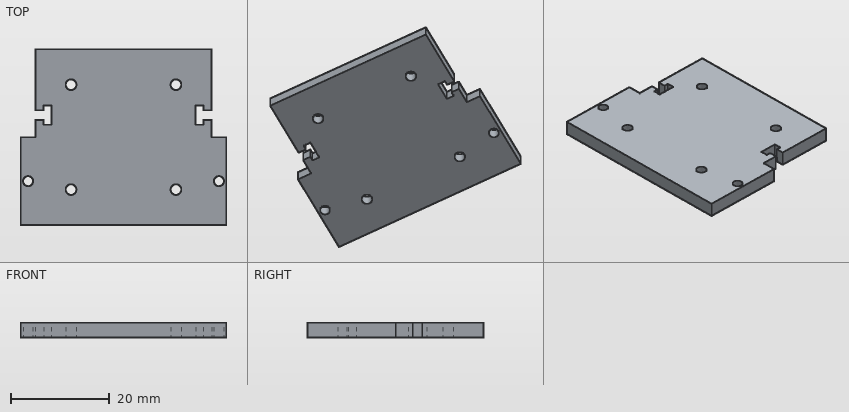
import cadquery as cq

base_width = 41.55
length = 35.55
thickness = 3.0
upper_width = 35.55
step_y = 0.0

notch_y = 4.45
mouth_width = 1.9
mouth_depth = 1.65
pocket_width = 3.8
pocket_depth = 1.55

mount_hole_diameter = 2.1
mount_hole_spacing = 21.2
side_hole_diameter = 2.0
side_hole_edge_distance = 1.5
side_hole_y = -length / 4


def block(width, depth, x, y):
    """Full-thickness block centred on (x, y)."""
    return cq.Workplane("XY").box(width, depth, thickness).translate((x, y, 0))


def t_notch(side):
    """Narrow mouth at the side edge opening into a wider pocket."""
    edge_x = upper_width / 2
    mouth = block(mouth_depth, mouth_width, side * (edge_x - mouth_depth / 2), notch_y)
    pocket_x = edge_x - mouth_depth - pocket_depth / 2
    pocket = block(pocket_depth, pocket_width, side * pocket_x, notch_y)
    return mouth.union(pocket)


lower_length = step_y + length / 2
plate = block(upper_width, length, 0, 0)
plate = plate.union(block(base_width, lower_length, 0, step_y - lower_length / 2))

for side in (-1, 1):
    plate = plate.cut(t_notch(side))

plate = (
    plate.faces(">Z").workplane(origin=(0, 0, 0))
    .rarray(mount_hole_spacing, mount_hole_spacing, 2, 2)
    .hole(mount_hole_diameter)
)

side_hole_x = base_width / 2 - side_hole_edge_distance
result = (
    plate.faces(">Z").workplane(origin=(0, 0, 0))
    .pushPoints([(-side_hole_x, side_hole_y), (side_hole_x, side_hole_y)])
    .hole(side_hole_diameter)
)